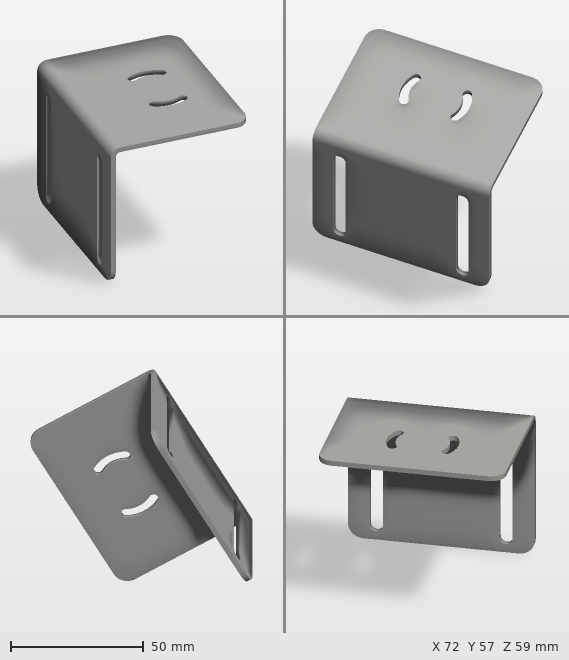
import cadquery as cq
import math

width = 72.0
depth = 57.0
height = 59.0
thickness = 2.0
bend_outer_radius = 3.9
bend_inner_radius = bend_outer_radius - thickness
corner_radius = 6.0

slot_spacing = 50.0
slot_width = 5.0
slot_length = 47.0
slot_top_gap = 8.4

arc_radius = 12.0
arc_slot_width = 3.5
arc_half_angle = 30.0
arc_center_from_back = 23.0

slot_center_z = -slot_top_gap - slot_length / 2
arc_center_y = depth - arc_center_from_back


def bent_sheet():
    """L-shaped sheet with a rounded bend along X."""
    sheet = (
        cq.Workplane("YZ")
        .moveTo(0, 0)
        .lineTo(depth, 0)
        .lineTo(depth, -thickness)
        .lineTo(thickness, -thickness)
        .lineTo(thickness, -height)
        .lineTo(0, -height)
        .close()
        .extrude(width / 2, both=True)
    )
    inner_edge = cq.selectors.NearestToPointSelector((0, thickness, -thickness))
    outer_edge = cq.selectors.NearestToPointSelector((0, 0, 0))
    sheet = sheet.edges("|X").edges(inner_edge).fillet(bend_inner_radius)
    sheet = sheet.edges("|X").edges(outer_edge).fillet(bend_outer_radius)
    sheet = sheet.faces(">Y").edges("|Z").fillet(corner_radius)
    return sheet.faces("<Z").edges("|Y").fillet(corner_radius)


def straight_slots():
    """Cutters for the pair of vertical slots through the upright flange."""
    return (
        cq.Workplane("XZ")
        .pushPoints([(side * slot_spacing / 2, slot_center_z) for side in (-1, 1)])
        .slot2D(slot_length, slot_width, 90)
        .extrude(thickness, both=True)
    )


def curved_slot(mid_angle):
    """Cutter for a round-ended slot on the arc circle, centred at mid_angle."""
    inner = arc_radius - arc_slot_width / 2
    outer = arc_radius + arc_slot_width / 2
    start = mid_angle - arc_half_angle
    end = mid_angle + arc_half_angle

    def polar(radius, angle):
        turn = math.radians(angle)
        return (radius * math.cos(turn), radius * math.sin(turn))

    def end_tip(angle, direction):
        """Outermost point of the semicircular slot end."""
        x, y = polar(arc_radius, angle)
        step_x, step_y = polar(arc_slot_width / 2, angle + direction * 90)
        return (x + step_x, y + step_y)

    return (
        cq.Workplane("XY", origin=(0, arc_center_y, 0))
        .moveTo(*polar(outer, start))
        .threePointArc(polar(outer, mid_angle), polar(outer, end))
        .threePointArc(end_tip(end, 1), polar(inner, end))
        .threePointArc(polar(inner, mid_angle), polar(inner, start))
        .threePointArc(end_tip(start, -1), polar(outer, start))
        .close()
        .extrude(thickness, both=True)
    )


result = bent_sheet().cut(straight_slots())
for slot_angle in (0, 180):
    result = result.cut(curved_slot(slot_angle))